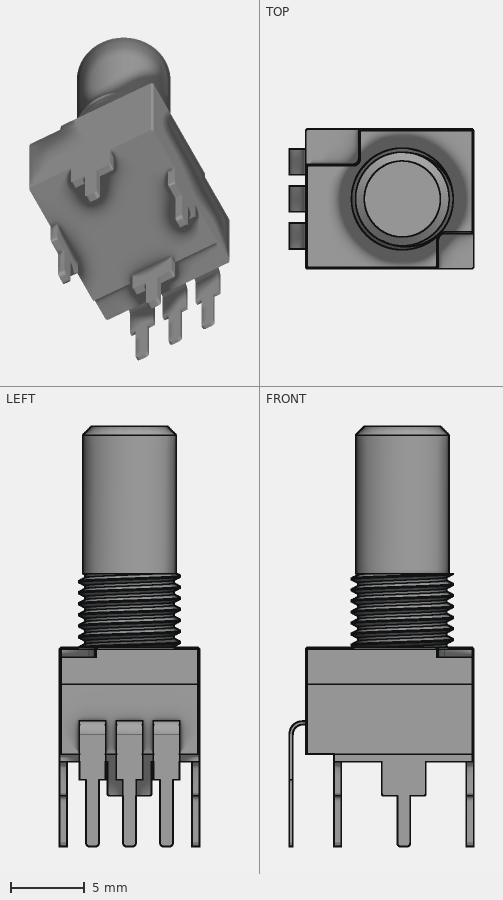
import cadquery as cq


CASE_LENGTH = 11.4
CASE_WIDTH = 9.5
CASE_RIGHT = 4.85
CASE_LEFT = CASE_RIGHT - CASE_LENGTH
CASE_BACK = CASE_WIDTH / 2
CASE_FRONT = -CASE_WIDTH / 2
HOUSING_HEIGHT = 4.73
COVER_HEIGHT = 2.5
EDGE_CHAMFER = 0.1

RECESS_DEPTH = 0.68
RECESS_SIDE = 2.4
RECESS_LONG_SIDE = 3.6
RECESS_FILLET = 0.4

BUSHING_LENGTH = 5.0
THREAD_ROOT_DIAMETER = 6.05
THREAD_CREST_DIAMETER = 6.9
THREAD_TURNS = 20 / 3
THREAD_PITCH = BUSHING_LENGTH / THREAD_TURNS
THREAD_BASE_WIDTH = 0.55
THREAD_CREST_WIDTH = 0.095
THREAD_START = 0.97
RIDGE_TURNS = 10
THREAD_EMBED = 0.09

SHAFT_DIAMETER = 6.35
SHAFT_LENGTH = 10.0
SHAFT_CHAMFER = 0.6

PIN_LENGTH = 5.75
PLATE_THICKNESS = 0.5
PLATE_SIDE = CASE_WIDTH
PLATE_CENTER_X = CASE_RIGHT - PLATE_SIDE / 2
LEG_WIDTH = 3.0
LEG_SHOULDER_Z = 3.45
LEG_SHOULDER_FILLET = 0.15

TERMINAL_COUNT = 3
TERMINAL_SPACING = 2.5
TERMINAL_WIDTH = 1.77
TERMINAL_THICKNESS = 0.25
TERMINAL_REACH = 1.1
TERMINAL_TOP_Z = 8.52
TERMINAL_BEND_RADIUS = 0.9
TERMINAL_SHOULDER_Z = 4.53

PIN_WIDTH = 0.88
PIN_TIP_FILLET = 0.25

HOUSING_BOTTOM = PIN_LENGTH + PLATE_THICKNESS
COVER_BOTTOM = HOUSING_BOTTOM + HOUSING_HEIGHT
BUSHING_BOTTOM = COVER_BOTTOM + COVER_HEIGHT
SHAFT_BOTTOM = BUSHING_BOTTOM + BUSHING_LENGTH


def case_block(bottom, height):
    """Block with the plan of the case and chamfered upright edges."""
    return (
        cq.Workplane("XY", origin=(CASE_RIGHT - CASE_LENGTH / 2, 0, bottom))
        .rect(CASE_LENGTH, CASE_WIDTH)
        .extrude(height)
        .edges("|Z")
        .chamfer(EDGE_CHAMFER)
    )


def make_housing():
    return case_block(HOUSING_BOTTOM, HOUSING_HEIGHT)


def make_cover():
    """Cover with a raised pad that leaves two opposite corners free."""
    base_height = COVER_HEIGHT - RECESS_DEPTH
    pad_bottom = COVER_BOTTOM + base_height
    left_corner = (CASE_LEFT + RECESS_LONG_SIDE, CASE_BACK - RECESS_SIDE)
    right_corner = (CASE_RIGHT - RECESS_SIDE, CASE_FRONT + RECESS_SIDE)
    pad = (
        cq.Workplane("XY", origin=(0, 0, pad_bottom))
        .moveTo(CASE_LEFT, CASE_FRONT)
        .lineTo(right_corner[0], CASE_FRONT)
        .lineTo(*right_corner)
        .lineTo(CASE_RIGHT, right_corner[1])
        .lineTo(CASE_RIGHT, CASE_BACK)
        .lineTo(left_corner[0], CASE_BACK)
        .lineTo(*left_corner)
        .lineTo(CASE_LEFT, left_corner[1])
        .close()
        .extrude(RECESS_DEPTH)
    )
    for corner in (left_corner, right_corner):
        inner_edge = cq.NearestToPointSelector((*corner, pad_bottom + RECESS_DEPTH / 2))
        pad = pad.edges("|Z").edges(inner_edge).fillet(RECESS_FILLET)
    pad = pad.edges("|Z").edges("<X or >X or <Y or >Y").chamfer(EDGE_CHAMFER)
    pad = pad.faces(">Z").edges().chamfer(EDGE_CHAMFER)
    return case_block(COVER_BOTTOM, base_height).union(pad)


def make_bushing():
    """Core cylinder with a right-hand thread, trimmed flat at both ends."""
    root = THREAD_ROOT_DIAMETER / 2
    crest = THREAD_CREST_DIAMETER / 2
    half_base = THREAD_BASE_WIDTH / 2
    half_crest = THREAD_CREST_WIDTH / 2
    half_foot = half_base + THREAD_EMBED * (half_base - half_crest) / (crest - root)
    start_z = BUSHING_BOTTOM - THREAD_START
    helix = cq.Wire.makeHelix(
        THREAD_PITCH, THREAD_PITCH * RIDGE_TURNS, root, center=cq.Vector(0, 0, start_z)
    )
    ridge = (
        cq.Workplane("XZ")
        .polyline([
            (root - THREAD_EMBED, start_z - half_foot),
            (crest, start_z - half_crest),
            (crest, start_z + half_crest),
            (root - THREAD_EMBED, start_z + half_foot),
        ])
        .close()
        .sweep(cq.Workplane(helix), isFrenet=True)
    )
    foot = cq.Workplane("XY", origin=(0, 0, BUSHING_BOTTOM))
    core = foot.circle(root).extrude(BUSHING_LENGTH)
    envelope = foot.circle(THREAD_CREST_DIAMETER).extrude(BUSHING_LENGTH)
    return core.union(ridge.intersect(envelope))


def make_shaft():
    return (
        cq.Workplane("XY", origin=(0, 0, SHAFT_BOTTOM))
        .circle(SHAFT_DIAMETER / 2)
        .extrude(SHAFT_LENGTH)
        .faces(">Z")
        .chamfer(SHAFT_CHAMFER)
    )


def stepped_pin(width, shoulder_z, top_z, thickness):
    """Wide upper and narrow lower part of a flat pin along Z, with rounded tip corners."""
    upper = (
        cq.Workplane("XY", origin=(0, 0, shoulder_z))
        .rect(width, thickness)
        .extrude(top_z - shoulder_z)
    )
    lower = (
        cq.Workplane("XY")
        .rect(PIN_WIDTH, thickness)
        .extrude(shoulder_z)
        .faces("<Z")
        .edges("|Y")
        .fillet(PIN_TIP_FILLET)
    )
    return upper, lower


def make_leg():
    """One bracket leg, centred on the Z axis."""
    upper, lower = stepped_pin(LEG_WIDTH, LEG_SHOULDER_Z, PIN_LENGTH, PLATE_THICKNESS)
    return upper.faces("<Z").edges("|Y").fillet(LEG_SHOULDER_FILLET).union(lower)


def make_bracket():
    bracket = (
        cq.Workplane("XY", origin=(0, 0, PIN_LENGTH))
        .rect(PLATE_SIDE, PLATE_SIDE)
        .extrude(PLATE_THICKNESS)
        .edges("|Z and >X")
        .chamfer(EDGE_CHAMFER)
    )
    leg = make_leg().translate((0, (PLATE_THICKNESS - PLATE_SIDE) / 2, 0))
    for quarter_turn in range(4):
        bracket = bracket.union(leg.rotate((0, 0, 0), (0, 0, 1), 90 * quarter_turn))
    return bracket.translate((PLATE_CENTER_X, 0, 0))


def make_terminal(y):
    """Terminal that leaves the -X wall, bends down and narrows at its shoulder."""
    outer_x = CASE_LEFT - TERMINAL_REACH
    bend_x = outer_x + TERMINAL_BEND_RADIUS
    bend_z = TERMINAL_TOP_Z - TERMINAL_BEND_RADIUS
    inner_radius = TERMINAL_BEND_RADIUS - TERMINAL_THICKNESS
    bend = (
        cq.Workplane("XZ", origin=(0, y, 0))
        .moveTo(CASE_LEFT, TERMINAL_TOP_Z)
        .lineTo(bend_x, TERMINAL_TOP_Z)
        .radiusArc((outer_x, bend_z), -TERMINAL_BEND_RADIUS)
        .lineTo(outer_x + TERMINAL_THICKNESS, bend_z)
        .radiusArc((bend_x, bend_z + inner_radius), inner_radius)
        .lineTo(CASE_LEFT, bend_z + inner_radius)
        .close()
        .extrude(TERMINAL_WIDTH / 2, both=True)
    )
    upper, lower = stepped_pin(TERMINAL_WIDTH, TERMINAL_SHOULDER_Z, bend_z, TERMINAL_THICKNESS)
    pin = upper.union(lower).rotate((0, 0, 0), (0, 0, 1), 90)
    return bend.union(pin.translate((outer_x + TERMINAL_THICKNESS / 2, y, 0)))


housing = make_housing()
cover = make_cover()
bushing = make_bushing()
shaft = make_shaft()
bracket = make_bracket()
terminals = [
    make_terminal((index - (TERMINAL_COUNT - 1) / 2) * TERMINAL_SPACING)
    for index in range(TERMINAL_COUNT)
]

result = cq.Compound.makeCompound([
    housing.val(),
    cover.val(),
    bushing.val(),
    shaft.val(),
    bracket.val(),
    *[terminal.val() for terminal in terminals],
])